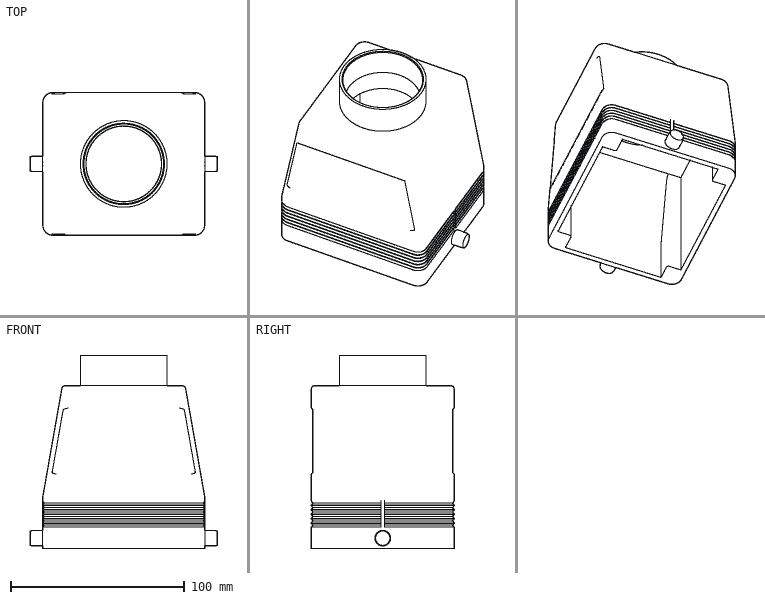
import cadquery as cq
import math

BODY_X = 93.5
BODY_Y = 82.5
BODY_TOP = 94.0
TAPER_START = 30.0
TAPER_ANGLE = 10.0
CORNER_RADIUS = 6.0
TOP_EDGE_RADIUS = 2.0

PART_HEIGHT = 111.5
COLLAR_DIAMETER = 50.0
COLLAR_BORE = 46.0
COLLAR_BORE_DEPTH = 13.4
COLLAR_CHAMFER = 0.5
LEDGE_RADIUS = 2.0
ENTRY_BORE = 43.5

GROOVE_COUNT = 6
GROOVE_START = 12.3
GROOVE_PITCH = 2.54
GROOVE_DEPTH = 0.95
RIDGE_FLAT = 0.24
GROOVE_WIDTH = GROOVE_PITCH - RIDGE_FLAT
RIM_RADIUS = 1.5
PLAIN_STRIP_WIDTH = 2.0

PANEL_DEPTH = 0.85
PANEL_BOTTOM = 42.6
PANEL_TOP = 81.3
PANEL_BEND_LENGTH = 1.5

PEG_SPAN = 108.0
PEG_DIAMETER = 9.0
PEG_HEIGHT = 6.0
PEG_CHAMFER_LENGTH = 1.3
PEG_CHAMFER_DEPTH = 0.35

WALL = 3.0
CEILING = 83.4
POST_FACE_X = 34.25
POST_FACE_Y = 29.75
POST_RADIUS = 1.2

TAPER_SLOPE = math.tan(math.radians(TAPER_ANGLE))
CLEARANCE = 2.0


def tapered_block(half_x, size_y, height):
    """Block upright to TAPER_START whose X sides lean inwards above it."""
    top_half_x = half_x - (height - TAPER_START) * TAPER_SLOPE
    return (
        cq.Workplane("XZ")
        .moveTo(-half_x, 0)
        .lineTo(half_x, 0)
        .lineTo(half_x, TAPER_START)
        .lineTo(top_half_x, height)
        .lineTo(-top_half_x, height)
        .lineTo(-half_x, TAPER_START)
        .close()
        .extrude(size_y / 2, both=True)
    )


def make_body():
    """Tapered hood with rounded corners and a rounded top edge."""
    body = tapered_block(BODY_X / 2, BODY_Y, BODY_TOP)
    body = body.edges("not(|X or |Y)").fillet(CORNER_RADIUS)
    return body.faces(">Z").edges().fillet(TOP_EDGE_RADIUS)


def groove_cutter(index):
    """V groove running around the +Y half, between the plain strips on the X sides."""
    half_x = BODY_X / 2
    half_y = BODY_Y / 2
    strip = PLAIN_STRIP_WIDTH / 2
    bottom = GROOVE_START + index * GROOVE_PITCH
    top = bottom + GROOVE_WIDTH
    middle = bottom + GROOVE_WIDTH / 2

    diagonal = CORNER_RADIUS * (1 - math.sqrt(0.5))
    path = (
        cq.Workplane("XY", origin=(0, 0, middle))
        .moveTo(half_x, strip)
        .lineTo(half_x, half_y - CORNER_RADIUS)
        .threePointArc((half_x - diagonal, half_y - diagonal), (half_x - CORNER_RADIUS, half_y))
        .lineTo(CORNER_RADIUS - half_x, half_y)
        .threePointArc((diagonal - half_x, half_y - diagonal), (-half_x, half_y - CORNER_RADIUS))
        .lineTo(-half_x, strip)
    )
    profile = (
        cq.Workplane("XZ", origin=(0, strip, 0))
        .moveTo(half_x + CLEARANCE, bottom)
        .lineTo(half_x, bottom)
        .lineTo(half_x - GROOVE_DEPTH, middle)
    )
    if index < GROOVE_COUNT - 1:
        profile = profile.lineTo(half_x, top)
    else:
        flank_angle = math.atan2(GROOVE_DEPTH, GROOVE_WIDTH / 2)
        tangent = RIM_RADIUS * math.tan(flank_angle / 2)
        rim_start = (half_x - tangent * math.sin(flank_angle), top - tangent * math.cos(flank_angle))
        top += tangent
        rim_middle = (
            half_x - RIM_RADIUS * (1 - math.cos(flank_angle / 2)),
            top - RIM_RADIUS * math.sin(flank_angle / 2),
        )
        profile = profile.lineTo(*rim_start).threePointArc(rim_middle, (half_x, top))
    profile = profile.lineTo(half_x + CLEARANCE, top).close()
    return profile.sweep(path)


def cut_grooves(body):
    for index in range(GROOVE_COUNT):
        cutter = groove_cutter(index)
        body = body.cut(cutter).cut(cutter.mirror("XZ"))
    return body


def s_bend_point(face, end, direction):
    """Middle of the outer arc of an S bend, which starts tangent to the face."""
    radius = (PANEL_BEND_LENGTH**2 + PANEL_DEPTH**2) / (4 * PANEL_DEPTH)
    half_angle = math.asin(PANEL_BEND_LENGTH / (2 * radius)) / 2
    inset = radius * (1 - math.cos(half_angle))
    return (face + inset, end + direction * radius * math.sin(half_angle))


def panel_cutter():
    """Recess across the -Y face, with S-shaped bends at its lower and upper ends."""
    face = -BODY_Y / 2
    floor = face + PANEL_DEPTH
    bend_middle = face + PANEL_DEPTH / 2
    outside = face - CLEARANCE
    bend = PANEL_BEND_LENGTH
    return (
        cq.Workplane("YZ")
        .moveTo(floor, PANEL_BOTTOM + bend)
        .lineTo(floor, PANEL_TOP - bend)
        .tangentArcPoint((bend_middle, PANEL_TOP - bend / 2), relative=False)
        .threePointArc(s_bend_point(face, PANEL_TOP, -1), (face, PANEL_TOP))
        .lineTo(outside, PANEL_TOP)
        .lineTo(outside, PANEL_BOTTOM)
        .lineTo(face, PANEL_BOTTOM)
        .threePointArc(s_bend_point(face, PANEL_BOTTOM, 1), (bend_middle, PANEL_BOTTOM + bend / 2))
        .tangentArcPoint((floor, PANEL_BOTTOM + bend), relative=False)
        .close()
        .extrude(BODY_X / 2, both=True)
    )


def cut_panels(body):
    cutter = panel_cutter()
    return body.cut(cutter).cut(cutter.mirror("XZ"))


def add_pegs(body):
    peg_radius = PEG_DIAMETER / 2
    half_span = PEG_SPAN / 2
    root = BODY_X / 2 - WALL / 2
    for side in (-1, 1):
        peg = (
            cq.Workplane("XZ", origin=(0, 0, PEG_HEIGHT))
            .moveTo(side * root, 0)
            .lineTo(side * root, peg_radius)
            .lineTo(side * (half_span - PEG_CHAMFER_LENGTH), peg_radius)
            .lineTo(side * half_span, peg_radius - PEG_CHAMFER_DEPTH)
            .lineTo(side * half_span, 0)
            .close()
            .revolve(360, (0, 0, 0), (1, 0, 0))
        )
        body = body.union(peg)
    return body


def make_cavity():
    """Interior offset from the outside, with an upright post left in each corner."""
    half_x = BODY_X / 2 - WALL
    size_y = BODY_Y - 2 * WALL
    cavity = tapered_block(half_x, size_y, CEILING)
    for side_x in (-1, 1):
        for side_y in (-1, 1):
            post = (
                cq.Workplane("XY")
                .box(BODY_X, BODY_Y, CEILING, centered=False)
                .edges("|Z and <X and <Y")
                .fillet(POST_RADIUS)
                .translate((POST_FACE_X, POST_FACE_Y, 0))
            )
            if side_x < 0:
                post = post.mirror("YZ")
            if side_y < 0:
                post = post.mirror("XZ")
            cavity = cavity.cut(post)
    return cavity


def make_collar():
    return (
        cq.Workplane("XY", origin=(0, 0, CEILING))
        .circle(COLLAR_DIAMETER / 2)
        .extrude(PART_HEIGHT - CEILING)
    )


def bore_cutter():
    """Stepped bore with a chamfered mouth and a concave round down to the entry bore."""
    bore_radius = COLLAR_BORE / 2
    entry_radius = ENTRY_BORE / 2
    centre_x = bore_radius - LEDGE_RADIUS
    centre_z = PART_HEIGHT - COLLAR_BORE_DEPTH
    arc_angle = math.acos((entry_radius - centre_x) / LEDGE_RADIUS)
    round_end = (entry_radius, centre_z - LEDGE_RADIUS * math.sin(arc_angle))
    round_middle = (
        centre_x + LEDGE_RADIUS * math.cos(arc_angle / 2),
        centre_z - LEDGE_RADIUS * math.sin(arc_angle / 2),
    )
    return (
        cq.Workplane("XZ")
        .moveTo(0, 0)
        .lineTo(entry_radius, 0)
        .lineTo(*round_end)
        .threePointArc(round_middle, (bore_radius, centre_z))
        .lineTo(bore_radius, PART_HEIGHT - COLLAR_CHAMFER)
        .lineTo(bore_radius + COLLAR_CHAMFER, PART_HEIGHT)
        .lineTo(0, PART_HEIGHT)
        .close()
        .revolve(360, (0, 0, 0), (0, 1, 0))
    )


body = add_pegs(cut_panels(cut_grooves(make_body())))
result = body.union(make_collar()).cut(make_cavity()).cut(bore_cutter())